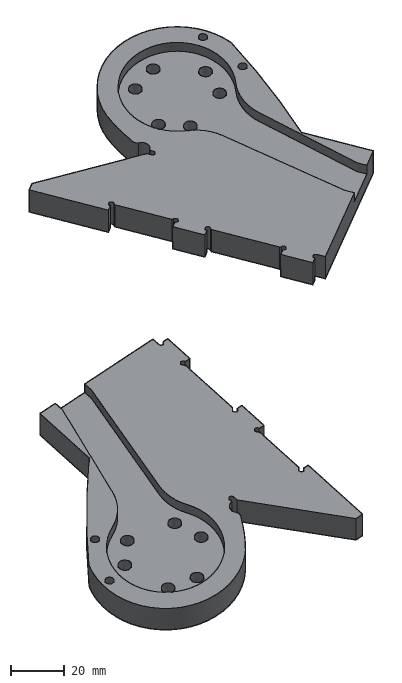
import cadquery as cq
import math

LENGTH = 116.0
THICKNESS = 12.6
SHELF_Y = 60.2

HEAD_X = 36.0
HEAD_Y = 66.6
HEAD_RADIUS = 30.0
HEAD_START_ANGLE = 66.4
HEAD_END_ANGLE = 234.1
SHOULDER_X = 87.5
SHOULDER_RADIUS = 348.0
POCKET_RADIUS = 22.2
POCKET_DEPTH = 5.0
POCKET_BLEND_RADIUS = 20.0

CHANNEL_END_X = 112.0
CHANNEL_TOP_Y = 52.5
CHANNEL_BOTTOM_Y = 38.0
CHANNEL_TOP_SLOPE = -15.4
CHANNEL_BOTTOM_SLOPE = -12.0

BOLT_DIAMETER = 5.1
BOLT_CIRCLE_RADIUS = 16.0
BOLT_PAIR_ANGLES = (45.0, 165.0, 285.0)
BOLT_HALF_SPREAD = 22.0
PIN_DIAMETER = 3.4
PIN_CIRCLE_RADIUS = 26.7
PIN_ANGLES = (41.5, 87.5)

CHIN = (28.1, 36.0)
CHIN_RADIUS = 69.6
LIP_LOW = (29.9, 35.1)
LIP_END = (31.3, 35.4)
HOLLOW_TOP = (33.2, 36.2)
HOLLOW_END = (36.4, 33.8)
RELIEF_RADIUS = 1.0
SLOT_Y = 32.4
SLOT_TIP_X = 38.9
SLOT_MOUTH_X = 36.0

FOOT_HEIGHT = 3.4
FOOT_WIDTH = 12.8
TOE_LENGTH = 31.4
FOOT_STARTS = (57.0, 99.8)
RELIEF_FLARE = 1.5
END_STEP_Y = FOOT_HEIGHT + RELIEF_RADIUS


def head_point(radius, angle):
    """Point at a polar position around the head centre."""
    turn = math.radians(angle)
    return (HEAD_X + radius * math.cos(turn), HEAD_Y + radius * math.sin(turn))


def toward(start, end, distance):
    """Point at a distance from start in the direction of end."""
    share = distance / math.dist(start, end)
    return tuple(a + (b - a) * share for a, b in zip(start, end))


def channel_blend(end, slope, side):
    """Start, middle and end of the arc tangent to the pocket circle and a channel wall.

    side is +1 for the upper wall and -1 for the lower wall.
    """
    turn = math.radians(slope)
    along = (math.cos(turn), math.sin(turn))
    normal = (-side * along[1], side * along[0])
    wall_offset = (end[0] - HEAD_X) * normal[0] + (end[1] - HEAD_Y) * normal[1]
    rise = wall_offset + POCKET_BLEND_RADIUS
    reach = math.sqrt((POCKET_RADIUS + POCKET_BLEND_RADIUS) ** 2 - rise**2)
    center = (
        HEAD_X + reach * along[0] + rise * normal[0],
        HEAD_Y + reach * along[1] + rise * normal[1],
    )
    on_circle = toward((HEAD_X, HEAD_Y), center, POCKET_RADIUS)
    on_wall = (
        center[0] - POCKET_BLEND_RADIUS * normal[0],
        center[1] - POCKET_BLEND_RADIUS * normal[1],
    )
    chord_middle = ((on_circle[0] + on_wall[0]) / 2, (on_circle[1] + on_wall[1]) / 2)
    return on_circle, toward(center, chord_middle, POCKET_BLEND_RADIUS), on_wall


def plate():
    """Outline with the head and throat, before the lower edge is notched."""
    middle_angle = (HEAD_START_ANGLE + HEAD_END_ANGLE) / 2
    slot_end_x = SLOT_TIP_X - RELIEF_RADIUS
    return (
        cq.Workplane("XY")
        .lineTo(LENGTH, 0)
        .lineTo(LENGTH, SHELF_Y)
        .lineTo(SHOULDER_X, SHELF_Y)
        .radiusArc(head_point(HEAD_RADIUS, HEAD_START_ANGLE), -SHOULDER_RADIUS)
        .threePointArc(
            head_point(HEAD_RADIUS, middle_angle), head_point(HEAD_RADIUS, HEAD_END_ANGLE)
        )
        .radiusArc(CHIN, -CHIN_RADIUS)
        .threePointArc(LIP_LOW, LIP_END)
        .threePointArc(HOLLOW_TOP, HOLLOW_END)
        .lineTo(HOLLOW_END[0], SLOT_Y + RELIEF_RADIUS)
        .lineTo(slot_end_x, SLOT_Y + RELIEF_RADIUS)
        .threePointArc((SLOT_TIP_X, SLOT_Y), (slot_end_x, SLOT_Y - RELIEF_RADIUS))
        .lineTo(SLOT_MOUTH_X, SLOT_Y - RELIEF_RADIUS)
        .lineTo(0, FOOT_HEIGHT)
        .close()
        .extrude(THICKNESS)
    )


def corner_relief(x, direction):
    """Round relief at a foot corner, flared onto the notch ceiling on the given side."""
    round_cut = cq.Workplane("XY").center(x, FOOT_HEIGHT).circle(RELIEF_RADIUS).extrude(THICKNESS)
    flare = (
        cq.Workplane("XY")
        .moveTo(x, FOOT_HEIGHT)
        .lineTo(x, FOOT_HEIGHT + RELIEF_RADIUS)
        .lineTo(x + direction * RELIEF_FLARE, FOOT_HEIGHT)
        .close()
        .extrude(THICKNESS)
    )
    return round_cut.union(flare)


def notch(start, end, height):
    """Rectangular gap in the lower edge."""
    return cq.Workplane("XY").box(end - start, height, THICKNESS, centered=False).translate((start, 0, 0))


def lower_edge_cuts():
    """Gaps between the feet, with corner reliefs, and the step at the right end."""
    last_foot_end = FOOT_STARTS[-1] + FOOT_WIDTH
    cuts = notch(last_foot_end, LENGTH, END_STEP_Y).union(corner_relief(last_foot_end, 1))
    gap_start = TOE_LENGTH
    for foot_start in FOOT_STARTS:
        cuts = cuts.union(notch(gap_start, foot_start, FOOT_HEIGHT))
        cuts = cuts.union(corner_relief(gap_start, 1))
        cuts = cuts.union(corner_relief(foot_start, -1))
        gap_start = foot_start + FOOT_WIDTH
    return cuts


def pocket():
    """Round pocket with a tapering channel that opens at the right end."""
    top_end = (CHANNEL_END_X, CHANNEL_TOP_Y)
    bottom_end = (CHANNEL_END_X, CHANNEL_BOTTOM_Y)
    top_start, top_middle, top_wall = channel_blend(top_end, CHANNEL_TOP_SLOPE, 1)
    bottom_start, bottom_middle, bottom_wall = channel_blend(bottom_end, CHANNEL_BOTTOM_SLOPE, -1)
    return (
        cq.Workplane("XY", origin=(0, 0, THICKNESS - POCKET_DEPTH))
        .moveTo(LENGTH, CHANNEL_TOP_Y)
        .lineTo(*top_end)
        .lineTo(*top_wall)
        .threePointArc(top_middle, top_start)
        .threePointArc((HEAD_X - POCKET_RADIUS, HEAD_Y), bottom_start)
        .threePointArc(bottom_middle, bottom_wall)
        .lineTo(*bottom_end)
        .lineTo(LENGTH, CHANNEL_BOTTOM_Y)
        .close()
        .extrude(POCKET_DEPTH)
    )


def through_holes(circle_radius, angles, diameter):
    """Through holes on a circle around the head centre."""
    centers = [head_point(circle_radius, angle) for angle in angles]
    return cq.Workplane("XY").pushPoints(centers).circle(diameter / 2).extrude(THICKNESS)


bolt_angles = [
    pair_angle + side * BOLT_HALF_SPREAD for pair_angle in BOLT_PAIR_ANGLES for side in (-1, 1)
]
result = (
    plate()
    .cut(lower_edge_cuts())
    .cut(pocket())
    .cut(through_holes(BOLT_CIRCLE_RADIUS, bolt_angles, BOLT_DIAMETER))
    .cut(through_holes(PIN_CIRCLE_RADIUS, PIN_ANGLES, PIN_DIAMETER))
)